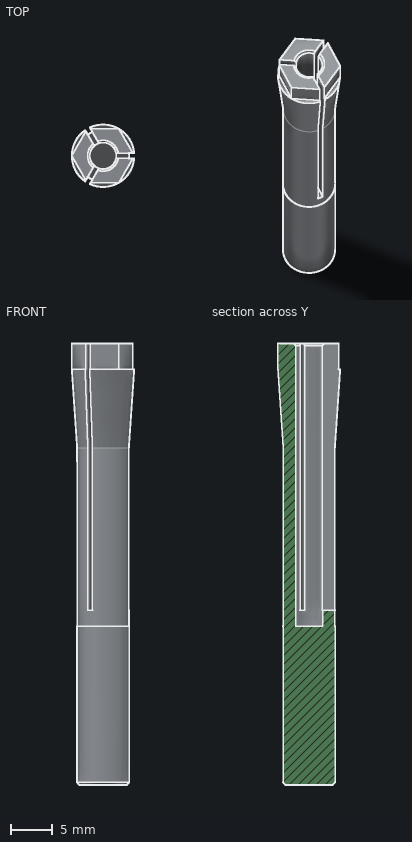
import cadquery as cq

total_length = 52.65
head_height = 3.1
cone_top = total_length - head_height
cone_bottom = 40.2
shank_top = 18.95
slot_bottom = 20.85

head_diameter = 7.45
shank_diameter = 6.25
waist_diameter = 6.2

foot_chamfer = 0.3
bore_bottom = shank_top
bore_diameter = 3.15
mouth_chamfer = 0.25

slot_width = 0.65
slot_count = 3


def make_body():
    """Revolve the shank, the slightly relieved waist, the clamping cone and the head blank."""
    head_radius = head_diameter / 2
    shank_radius = shank_diameter / 2
    waist_radius = waist_diameter / 2
    profile = (
        cq.Workplane("XZ")
        .moveTo(0, 0)
        .lineTo(shank_radius - foot_chamfer, 0)
        .lineTo(shank_radius, foot_chamfer)
        .lineTo(shank_radius, shank_top)
        .lineTo(waist_radius, shank_top)
        .lineTo(waist_radius, cone_bottom)
        .lineTo(head_radius, cone_top)
        .lineTo(0, cone_top)
        .close()
    )
    return profile.revolve(360, (0, 0, 0), (0, 1, 0))


def make_hex_head():
    """Hexagon with two corners on the X axis, its corners level with the cone rim."""
    return cq.Workplane("XY").workplane(offset=cone_top).polygon(6, head_diameter).extrude(head_height)


def make_bore():
    """Blind bore from the top down past the slots to the shank, with a chamfered mouth."""
    bore_radius = bore_diameter / 2
    mouth_radius = bore_radius + mouth_chamfer
    profile = (
        cq.Workplane("XZ")
        .moveTo(0, bore_bottom)
        .lineTo(bore_radius, bore_bottom)
        .lineTo(bore_radius, total_length - mouth_chamfer)
        .lineTo(mouth_radius, total_length)
        .lineTo(0, total_length)
        .close()
    )
    return profile.revolve(360, (0, 0, 0), (0, 1, 0))


def make_slot(angle):
    """Radial slot from the axis out through the wall, open at the top."""
    return (
        cq.Workplane("XY")
        .box(head_diameter, slot_width, total_length - slot_bottom, centered=(False, True, False))
        .translate((0, 0, slot_bottom))
        .rotate((0, 0, 0), (0, 0, 1), angle)
    )


result = make_body().union(make_hex_head()).cut(make_bore())
for index in range(slot_count):
    result = result.cut(make_slot(index * 360 / slot_count))